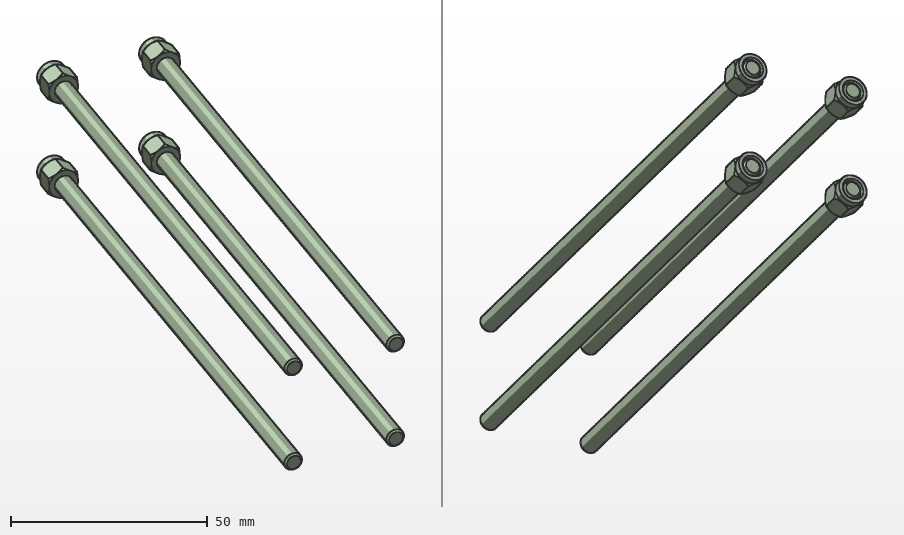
import cadquery as cq
import math

rod_pitch = 28.3

rod_length = 154.0
rod_diameter = 5.0
rod_end_chamfer = 0.54

hex_sides = 6
nut_across_flats = 8.0
nut_across_corners = nut_across_flats / math.cos(math.pi / hex_sides)
nut_length = 8.0
collar_diameter = 7.9
collar_length = 2.0
bore_chamfer = 0.5


def make_rod():
    """Round rod along +X from the origin, chamfered at both ends."""
    rod = cq.Workplane("YZ").circle(rod_diameter / 2).extrude(rod_length)
    return rod.faces("<X or >X").chamfer(rod_end_chamfer)


def make_nut_envelope():
    """Turned shape: the collar, then 45 degree cones that trim the hexagon corners at both ends."""
    collar_radius = collar_diameter / 2
    corner_radius = nut_across_corners / 2
    end_radius = nut_across_flats / 2
    collar_side_chamfer = corner_radius - collar_radius
    end_side_chamfer = corner_radius - end_radius
    return (
        cq.Workplane("XY")
        .moveTo(0, 0)
        .lineTo(0, collar_radius)
        .lineTo(collar_length, collar_radius)
        .lineTo(collar_length + collar_side_chamfer, corner_radius)
        .lineTo(nut_length - end_side_chamfer, corner_radius)
        .lineTo(nut_length, end_radius)
        .lineTo(nut_length, 0)
        .close()
        .revolve(360, (0, 0, 0), (1, 0, 0))
    )


def make_bore():
    """Hole that fits the rod, widened by a 45 degree chamfer at the collar face."""
    bore_radius = rod_diameter / 2
    return (
        cq.Workplane("XY")
        .moveTo(0, 0)
        .lineTo(0, bore_radius + bore_chamfer)
        .lineTo(bore_chamfer, bore_radius)
        .lineTo(nut_length, bore_radius)
        .lineTo(nut_length, 0)
        .close()
        .revolve(360, (0, 0, 0), (1, 0, 0))
    )


def make_nut():
    """Hexagon nut with corners pointing up and down, a round collar and a through bore."""
    hexagon = (
        cq.Workplane("YZ")
        .transformed(rotate=(0, 0, 90))
        .polygon(hex_sides, nut_across_corners)
        .extrude(nut_length)
    )
    return hexagon.intersect(make_nut_envelope()).cut(make_bore())


rods = []
nuts = []
for y in (-rod_pitch / 2, rod_pitch / 2):
    for z in (-rod_pitch / 2, rod_pitch / 2):
        rods.append(make_rod().translate((0, y, z)).solids().val())
        nuts.append(make_nut().translate((0, y, z)).solids().val())

result = cq.Compound.makeCompound([*rods, *nuts])